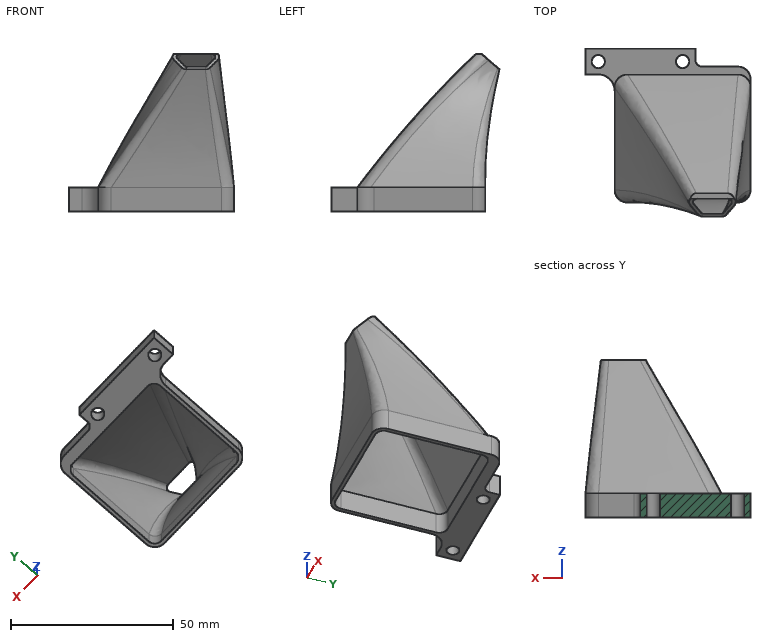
import cadquery as cq
import math

body_size = 42.0
plate_height = 7.5
body_corner_radius = 4.0
tab_left = -9.0
tab_right = 25.0
tab_depth = 8.0
tab_back = 47.5
tab_front = tab_back - tab_depth
tab_left_fillet = 5.0
tab_right_fillet = 2.0

hole_diameter = 4.0
hole_count = 2
hole_spacing = 26.0
first_hole_x = tab_left + tab_depth / 2
hole_y = tab_back - tab_depth / 2

part_height = 48.7
wall = 1.2

mouth_center_x = 30.2
mouth_front_y = -4.37
mouth_front_z = 43.85
mouth_tilt = 40.9
mouth_depth = 8.55
mouth_front_half_width = 3.8
mouth_back_half_width = 9.4
mouth_front_radius = 1.8
mouth_back_radius = 2.6

middle_front_y = -1.0
middle_front_z = 25.7
middle_tilt = 14.0
middle_depth = 21.8
middle_back_left = 12.5
middle_back_right = 39.8


def blend(start, end):
    """Value halfway between two values."""
    return (start + end) / 2


def tilted_plane(front_y, front_z, tilt):
    """Plane through a front edge parallel to X, rising toward the back by the tilt angle."""
    angle = math.radians(tilt)
    normal = (0, -math.sin(angle), math.cos(angle))
    return cq.Plane(origin=(0, front_y, front_z), xDir=(1, 0, 0), normal=normal)


def quad_corners(front_left, front_right, back_left, back_right, depth):
    """Counter-clockwise corners of a section with parallel front and back edges."""
    return [(front_left, 0), (front_right, 0), (back_right, depth), (back_left, depth)]


def edge_normal(start, end):
    """Outward unit normal of an edge of a counter-clockwise outline."""
    direction = cq.Vector(end[0] - start[0], end[1] - start[1]).normalized()
    return cq.Vector(direction.y, -direction.x)


def section_wire(plane, corners, radii, inset):
    """Closed outline with rounded corners, moved inward by the inset."""
    arcs = []
    for i, corner in enumerate(corners):
        following = corners[(i + 1) % len(corners)]
        normal_in = edge_normal(corners[i - 1], corner)
        normal_out = edge_normal(corner, following)
        bisector = normal_in + normal_out
        center = cq.Vector(*corner) - bisector * (radii[i] / (1 + normal_in.dot(normal_out)))
        arc_radius = radii[i] - inset
        directions = (normal_in, bisector.normalized(), normal_out)
        arcs.append([(center + d * arc_radius).toTuple()[:2] for d in directions])

    outline = cq.Workplane(plane).moveTo(*arcs[0][0])
    for i, (start, middle, end) in enumerate(arcs):
        if i > 0:
            outline = outline.lineTo(*start)
        outline = outline.threePointArc(middle, end)
    return outline.close().val()


base_section = (
    tilted_plane(0, plate_height, 0),
    quad_corners(0, body_size, 0, body_size, tab_front),
    [body_corner_radius] * 4,
)

mouth_front_left = mouth_center_x - mouth_front_half_width
mouth_front_right = mouth_center_x + mouth_front_half_width
mouth_back_left = mouth_center_x - mouth_back_half_width
mouth_back_right = mouth_center_x + mouth_back_half_width
mouth_section = (
    tilted_plane(mouth_front_y, mouth_front_z, mouth_tilt),
    quad_corners(mouth_front_left, mouth_front_right, mouth_back_left, mouth_back_right, mouth_depth),
    [mouth_front_radius, mouth_front_radius, mouth_back_radius, mouth_back_radius],
)

middle_front_radius = blend(body_corner_radius, mouth_front_radius)
middle_back_radius = blend(body_corner_radius, mouth_back_radius)
middle_section = (
    tilted_plane(middle_front_y, middle_front_z, middle_tilt),
    quad_corners(
        blend(0, mouth_front_left),
        blend(body_size, mouth_front_right),
        middle_back_left,
        middle_back_right,
        middle_depth,
    ),
    [middle_front_radius, middle_front_radius, middle_back_radius, middle_back_radius],
)


def duct_loft(inset):
    """Smooth loft from the plate to the nozzle mouth."""
    sections = (base_section, middle_section, mouth_section)
    wires = [section_wire(*section, inset) for section in sections]
    return cq.Workplane(obj=cq.Solid.makeLoft(wires))


def base_plate():
    """Plate outline with rounded corners and the two holes of the tab."""
    body = (
        cq.Workplane()
        .rect(body_size, body_size, centered=False)
        .extrude(plate_height)
        .edges("|Z")
        .fillet(body_corner_radius)
    )
    tab = (
        cq.Workplane()
        .moveTo(tab_left, tab_front)
        .lineTo(-tab_left_fillet, tab_front)
        .radiusArc((0, tab_front - tab_left_fillet), tab_left_fillet)
        .lineTo(tab_right, tab_front - tab_left_fillet)
        .lineTo(tab_right + tab_right_fillet, body_size)
        .radiusArc((tab_right, body_size + tab_right_fillet), tab_right_fillet)
        .lineTo(tab_right, tab_back)
        .lineTo(tab_left, tab_back)
        .close()
        .extrude(plate_height)
    )
    holes = (
        cq.Workplane()
        .pushPoints([(first_hole_x + i * hole_spacing, hole_y) for i in range(hole_count)])
        .circle(hole_diameter / 2)
        .extrude(plate_height)
    )
    return body.union(tab).cut(holes)


def plate_passage():
    """Straight opening through the plate that continues the inside of the duct."""
    base_plane, corners, radii = base_section
    floor_plane = cq.Plane(base_plane.origin - cq.Vector(0, 0, plate_height))
    wire = section_wire(floor_plane, corners, radii, wall)
    return cq.Workplane(obj=cq.Solid.extrudeLinear(wire, [], cq.Vector(0, 0, plate_height)))


def top_trim():
    """Block that cuts the rear lip of the nozzle flat at the part height."""
    return (
        cq.Workplane()
        .workplane(offset=part_height)
        .center(mouth_center_x, 0)
        .rect(body_size, body_size)
        .extrude(mouth_depth)
    )


result = (
    base_plate()
    .union(duct_loft(0))
    .cut(duct_loft(wall))
    .cut(plate_passage())
    .cut(top_trim())
)